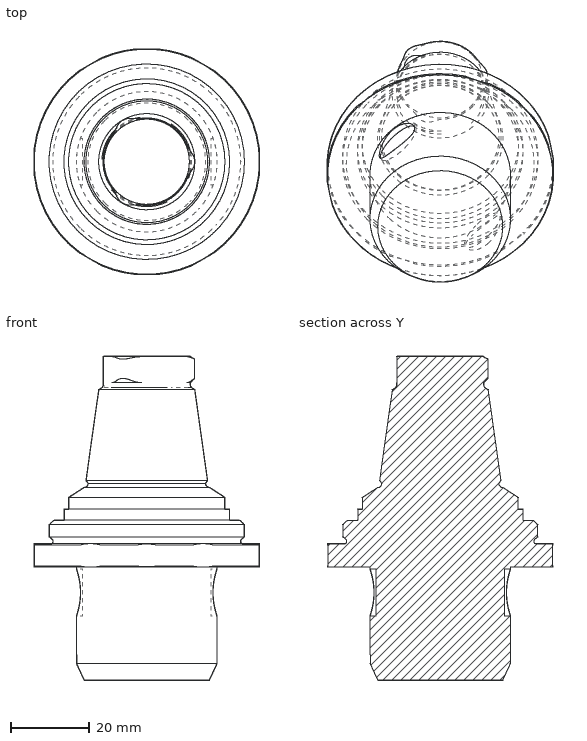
import cadquery as cq
import math


SHANK_RADIUS = 18.0
SHANK_TIP_RADIUS = 16.0
SHANK_TIP_HALF_ANGLE = 25.0
FLANGE_BOTTOM = 29.0

SEAT_DIAMETER = 12.0
SEAT_BELOW_FLANGE = 6.5
SEAT_FLOOR_DISTANCE = 16.5

FLANGE_RADIUS = 29.0
FLANGE_THICKNESS = 6.0
FLANGE_TOP = FLANGE_BOTTOM + FLANGE_THICKNESS
FLANGE_CHAMFER_WIDTH = 0.2
FLANGE_TOP_CHAMFER_HEIGHT = 0.4
FLANGE_BOTTOM_CHAMFER_HEIGHT = 0.3

WRENCH_FLAT_DISTANCE = 28.8
WRENCH_FLAT_ANGLES = [0, 60, 120, 180, 240, 300]
SIDE_FLAT_DISTANCE = 28.85
SIDE_FLAT_ANGLES = [90, 270]

NECK_RADIUS = 24.05
NECK_BASE_FILLET = 0.5
NECK_TOP_FILLET = 0.6
NECK_TOP_FILLET_START = FLANGE_TOP + 0.7
UNDERCUT_RADIUS = 24.4
UNDERCUT_BOTTOM = FLANGE_TOP + 1.2
UNDERCUT_TOP = FLANGE_TOP + 1.75
COLLAR_RADIUS = 25.0
COLLAR_HEIGHT = 6.0
COLLAR_CHAMFER_ANGLE = 45.0
COLLAR_TOP_CHAMFER = 1.15
COLLAR_TOP_ROUND = 0.8
COLLAR_TOP = FLANGE_TOP + COLLAR_HEIGHT
LOWER_STEP_RADIUS = 21.2
LOWER_STEP_HEIGHT = 2.85
LOWER_STEP_TOP = COLLAR_TOP + LOWER_STEP_HEIGHT
UPPER_STEP_RADIUS = 20.0
UPPER_STEP_HEIGHT = 3.0
UPPER_STEP_TOP = LOWER_STEP_TOP + UPPER_STEP_HEIGHT

RELIEF_RADIUS = 15.05
RELIEF_FILLET = 1.0
SHOULDER_TOP_RADIUS = RELIEF_RADIUS + RELIEF_FILLET
SHOULDER_HEIGHT = 2.55
SHOULDER_TOP = UPPER_STEP_TOP + SHOULDER_HEIGHT
RELIEF_TOP = SHOULDER_TOP + RELIEF_FILLET

TAPER_HALF_ANGLE = 8.0
TAPER_BOTTOM_RADIUS = 15.58
RELIEF_CONE_HEIGHT = 0.75
TAPER_BOTTOM = RELIEF_TOP + RELIEF_CONE_HEIGHT
TAPER_TOP = 74.4
TAPER_NARROWING = (TAPER_TOP - TAPER_BOTTOM) * math.tan(math.radians(TAPER_HALF_ANGLE))
TAPER_TOP_RADIUS = TAPER_BOTTOM_RADIUS - TAPER_NARROWING

TOTAL_HEIGHT = 83.0
HEAD_RADIUS = 11.2
HEAD_BOTTOM = 76.2
HEAD_TOP_RADIUS = 10.9
HEAD_CHAMFER_ANGLE = 30.0

HOLLOW_BOTTOM_RADIUS = 11.5
HOLLOW_BOTTOM = 74.93
HOLLOW_ARC_RADIUS = 1.3

LUG_COUNT = 3
LUG_TIP_RADIUS = 12.25
LUG_NOSE_RADIUS = 3.66
LUG_BLEND_RADIUS = 11.2


def make_body():
    """Revolved body from the shank tip up to the underside of the head."""
    shank_tip_height = (SHANK_RADIUS - SHANK_TIP_RADIUS) / math.tan(math.radians(SHANK_TIP_HALF_ANGLE))
    flange_face_radius = FLANGE_RADIUS - FLANGE_CHAMFER_WIDTH
    collar_chamfer_start = COLLAR_RADIUS - COLLAR_TOP_CHAMFER
    round_tangent_length = COLLAR_TOP_ROUND * math.tan(math.radians(COLLAR_CHAMFER_ANGLE / 2))
    round_leg = round_tangent_length * math.sin(math.radians(COLLAR_CHAMFER_ANGLE))
    return (
        cq.Workplane("XZ")
        .moveTo(0, 0)
        .lineTo(SHANK_TIP_RADIUS, 0)
        .lineTo(SHANK_RADIUS, shank_tip_height)
        .lineTo(SHANK_RADIUS, FLANGE_BOTTOM)
        .lineTo(flange_face_radius, FLANGE_BOTTOM)
        .lineTo(FLANGE_RADIUS, FLANGE_BOTTOM + FLANGE_BOTTOM_CHAMFER_HEIGHT)
        .lineTo(FLANGE_RADIUS, FLANGE_TOP - FLANGE_TOP_CHAMFER_HEIGHT)
        .lineTo(flange_face_radius, FLANGE_TOP)
        .lineTo(NECK_RADIUS + NECK_BASE_FILLET, FLANGE_TOP)
        .radiusArc((NECK_RADIUS, FLANGE_TOP + NECK_BASE_FILLET), NECK_BASE_FILLET)
        .lineTo(NECK_RADIUS, NECK_TOP_FILLET_START)
        .radiusArc((UNDERCUT_RADIUS, UNDERCUT_BOTTOM), NECK_TOP_FILLET)
        .lineTo(COLLAR_RADIUS, UNDERCUT_TOP)
        .lineTo(COLLAR_RADIUS, COLLAR_TOP - COLLAR_TOP_CHAMFER)
        .lineTo(collar_chamfer_start + round_leg, COLLAR_TOP - round_leg)
        .radiusArc((collar_chamfer_start - round_tangent_length, COLLAR_TOP), -COLLAR_TOP_ROUND)
        .lineTo(LOWER_STEP_RADIUS, COLLAR_TOP)
        .lineTo(LOWER_STEP_RADIUS, LOWER_STEP_TOP)
        .lineTo(UPPER_STEP_RADIUS, LOWER_STEP_TOP)
        .lineTo(UPPER_STEP_RADIUS, UPPER_STEP_TOP)
        .lineTo(SHOULDER_TOP_RADIUS, SHOULDER_TOP)
        .radiusArc((RELIEF_RADIUS, RELIEF_TOP), RELIEF_FILLET)
        .lineTo(TAPER_BOTTOM_RADIUS, TAPER_BOTTOM)
        .lineTo(TAPER_TOP_RADIUS, TAPER_TOP)
        .lineTo(HOLLOW_BOTTOM_RADIUS, HOLLOW_BOTTOM)
        .radiusArc((HEAD_RADIUS, HEAD_BOTTOM), HOLLOW_ARC_RADIUS)
        .lineTo(0, HEAD_BOTTOM)
        .close()
        .revolve(360, (0, 0, 0), (0, 1, 0))
    )


def head_chamfer_z(radius):
    """Height of the conical chamfer around the head's top face at a given radius."""
    return TOTAL_HEIGHT - (radius - HEAD_TOP_RADIUS) * math.tan(math.radians(HEAD_CHAMFER_ANGLE))


def make_head_envelope():
    """Revolved outline limiting the head and its lugs: conical at the top, 45 degrees underneath."""
    lug_bottom = HEAD_BOTTOM + LUG_TIP_RADIUS - HEAD_RADIUS
    return (
        cq.Workplane("XZ")
        .moveTo(0, HEAD_BOTTOM)
        .lineTo(HEAD_RADIUS, HEAD_BOTTOM)
        .lineTo(LUG_TIP_RADIUS, lug_bottom)
        .lineTo(LUG_TIP_RADIUS, head_chamfer_z(LUG_TIP_RADIUS))
        .lineTo(HEAD_TOP_RADIUS, TOTAL_HEIGHT)
        .lineTo(0, TOTAL_HEIGHT)
        .close()
        .revolve(360, (0, 0, 0), (0, 1, 0))
    )


def rotated(x, y, degrees):
    """Point (x, y) turned about the axis."""
    angle = math.radians(degrees)
    return (x * math.cos(angle) - y * math.sin(angle), x * math.sin(angle) + y * math.cos(angle))


def make_head():
    """Round head with evenly spaced lugs, each a round nose blended in by concave arcs."""
    nose_center = LUG_TIP_RADIUS - LUG_NOSE_RADIUS
    to_axis = HEAD_RADIUS + LUG_BLEND_RADIUS
    to_nose = LUG_NOSE_RADIUS + LUG_BLEND_RADIUS
    blend_x = (to_axis**2 - to_nose**2 + nose_center**2) / (2 * nose_center)
    blend_y = math.sqrt(to_axis**2 - blend_x**2)
    head_x = blend_x * HEAD_RADIUS / to_axis
    head_y = blend_y * HEAD_RADIUS / to_axis
    nose_x = nose_center + (blend_x - nose_center) * LUG_NOSE_RADIUS / to_nose
    nose_y = blend_y * LUG_NOSE_RADIUS / to_nose

    pitch = 360 / LUG_COUNT
    outline = cq.Workplane("XY").workplane(offset=HEAD_BOTTOM).moveTo(head_x, -head_y)
    for index in range(LUG_COUNT):
        turn = index * pitch
        outline = (
            outline
            .radiusArc(rotated(nose_x, -nose_y, turn), LUG_BLEND_RADIUS)
            .threePointArc(rotated(LUG_TIP_RADIUS, 0, turn), rotated(nose_x, nose_y, turn))
            .radiusArc(rotated(head_x, head_y, turn), LUG_BLEND_RADIUS)
            .threePointArc(rotated(HEAD_RADIUS, 0, turn + pitch / 2), rotated(head_x, -head_y, turn + pitch))
        )
    return outline.close().extrude(TOTAL_HEIGHT - HEAD_BOTTOM).intersect(make_head_envelope())


def make_flat_cutter(distance, angle):
    """Block that trims the flange rim to a flat at the given distance and direction."""
    size = FLANGE_RADIUS
    return (
        cq.Workplane("XY")
        .box(size, size, FLANGE_THICKNESS, centered=(False, True, False))
        .translate((distance, 0, FLANGE_BOTTOM))
        .rotate((0, 0, 0), (0, 0, 1), angle)
    )


def make_seat_cutter(side):
    """Cylinder for the flat-bottomed seat on the +X (side = 1) or -X (side = -1) face."""
    return (
        cq.Workplane("YZ")
        .workplane(offset=side * SEAT_FLOOR_DISTANCE)
        .center(0, FLANGE_BOTTOM - SEAT_BELOW_FLANGE)
        .circle(SEAT_DIAMETER / 2)
        .extrude(side * (SHANK_RADIUS - SEAT_FLOOR_DISTANCE))
    )


tool_holder = make_body().union(make_head())

for flat_angle in WRENCH_FLAT_ANGLES:
    tool_holder = tool_holder.cut(make_flat_cutter(WRENCH_FLAT_DISTANCE, flat_angle))
for flat_angle in SIDE_FLAT_ANGLES:
    tool_holder = tool_holder.cut(make_flat_cutter(SIDE_FLAT_DISTANCE, flat_angle))

for seat_side in (-1, 1):
    tool_holder = tool_holder.cut(make_seat_cutter(seat_side))

result = tool_holder